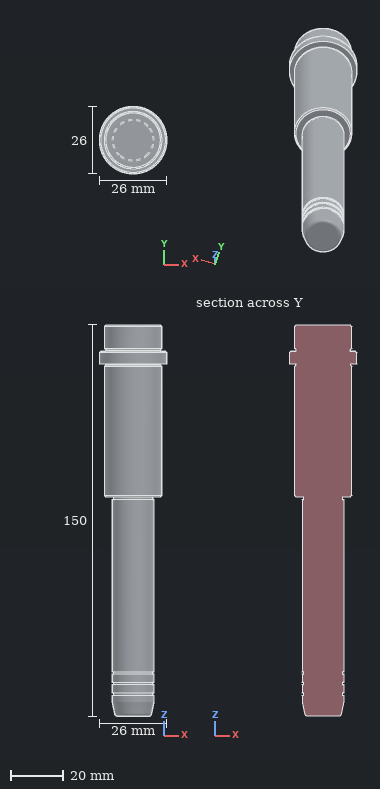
import cadquery as cq

length = 150.0
collar_radius = 26.0 / 2
body_radius = 22.0 / 2
shank_radius = 16.0 / 2

collar_top = length - 10.0
collar_height = 5.0
collar_bottom = collar_top - collar_height
body_bottom = length - 66.0

edge_chamfer = 0.6
body_top_chamfer = 0.5
neck_height = 0.5

groove_width = 0.9
groove_depth = 0.5
groove_count = 3
groove_pitch = 4.0
lowest_groove_height = 8.5

tip_height = 5.4
tip_radius = 6.9
tip_fillet = 1.2


def cylinder(radius, bottom, top):
    return cq.Workplane("XY").workplane(offset=bottom).circle(radius).extrude(top - bottom)


def shank_groove(center_height):
    """Ring that cuts a square groove into the shank around the given height."""
    bottom = center_height - groove_width / 2
    top = bottom + groove_width
    core = cylinder(shank_radius - groove_depth, bottom, top)
    return cylinder(shank_radius + groove_depth, bottom, top).cut(core)


def make_tip():
    tip = cq.Workplane(obj=cq.Solid.makeCone(tip_radius, shank_radius, tip_height))
    return tip.faces("<Z").edges().fillet(tip_fillet)


def make_shank():
    shank = make_tip().union(cylinder(shank_radius, tip_height, body_bottom))
    for index in range(groove_count):
        shank = shank.cut(shank_groove(lowest_groove_height + index * groove_pitch))
    return shank.cut(shank_groove(body_bottom - groove_width / 2))


def make_body():
    body_top = collar_bottom - neck_height
    body = cylinder(body_radius, body_bottom, body_top)
    body = body.edges("<Z").chamfer(edge_chamfer)
    body = body.edges(">Z").chamfer(body_top_chamfer)
    neck = cylinder(body_radius - body_top_chamfer, body_top, collar_bottom)
    return body.union(neck)


def make_collar():
    return cylinder(collar_radius, collar_bottom, collar_top).edges(">Z").chamfer(edge_chamfer)


def make_head():
    head_bottom = collar_top + neck_height
    head = cylinder(body_radius, head_bottom, length).edges().chamfer(edge_chamfer)
    neck = cylinder(body_radius - edge_chamfer, collar_top, head_bottom)
    return head.union(neck)


result = make_shank().union(make_body()).union(make_collar()).union(make_head())